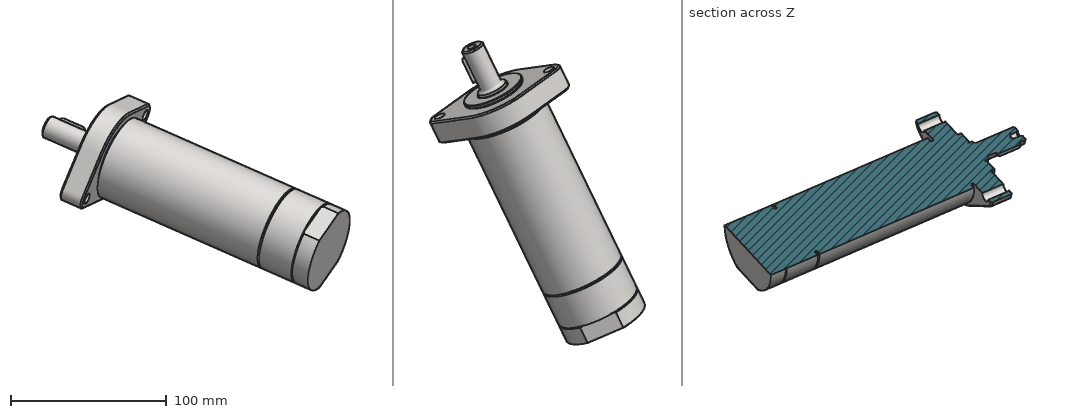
import cadquery as cq
import math

TOTAL_LENGTH = 207.3
SHAFT_FILLET_START = 28.5
CONE_START = 29.9
COLLAR_START = 30.7
PILOT_START = 32.1
FLANGE_START = 34.8
FLANGE_END = 51.0
BODY_START = 52.7
GROOVE_START = 170.2
CAP_START = 195.0

SHAFT_DIAMETER = 15.0
CONE_DIAMETER = 17.0
COLLAR_DIAMETER = 20.0
PILOT_DIAMETER = 41.0
PILOT_UNDERCUT_DIAMETER = 40.0
NECK_DIAMETER = 48.3
BODY_DIAMETER = 56.0
GROOVE_DIAMETER = 48.0
CAP_RELIEF_DIAMETER = 55.1

SHAFT_CHAMFER = 1.0
PILOT_CHAMFER = 0.5
PILOT_UNDERCUT_WIDTH = 0.6
GROOVE_WIDTH = 1.2
CAP_RELIEF_WIDTH = 0.6

CENTER_HOLE_DIAMETER = 4.0
CENTER_HOLE_DEPTH = 6.2
CENTER_SINK_DIAMETER = 5.8
CENTER_SINK_ANGLE = 60.0
DRILL_POINT_ANGLE = 118.0

SEAL_RECESS_DIAMETER = 21.4
SEAL_RECESS_DEPTH = 0.6

KEY_START = 5.2
KEY_LENGTH = 17.8
KEY_WIDTH = 5.0
KEY_TOP = 9.3

FLANGE_WIDTH = 92.0
FLANGE_HEIGHT = 62.0
EAR_RADIUS = 7.5
EAR_HOLE_DIAMETER = 7.0
FLANGE_CHAMFER = 1.0

CAP_ACROSS_FLATS = 50.0


def cylinder(start, end, diameter):
    """Solid cylinder on the X axis between two positions."""
    return cq.Workplane("YZ", origin=(start, 0, 0)).circle(diameter / 2).extrude(end - start)


def ring(start, width, inner, outer):
    """Ring around the X axis, used to cut grooves."""
    return cq.Workplane("YZ", origin=(start, 0, 0)).circle(outer / 2).circle(inner / 2).extrude(width)


def make_shaft():
    """Chamfered shaft that flares through a concave arc and a cone to its collar."""
    radius = SHAFT_DIAMETER / 2
    cone_radius = CONE_DIAMETER / 2
    collar_radius = COLLAR_DIAMETER / 2
    return (
        cq.Workplane("XY")
        .lineTo(0, radius - SHAFT_CHAMFER)
        .lineTo(SHAFT_CHAMFER, radius)
        .lineTo(SHAFT_FILLET_START, radius)
        .tangentArcPoint((CONE_START, cone_radius), relative=False)
        .lineTo(COLLAR_START, collar_radius)
        .lineTo(FLANGE_START, collar_radius)
        .lineTo(FLANGE_START, 0)
        .close()
        .revolve(360, (0, 0, 0), (1, 0, 0))
    )


def make_center_hole():
    """Countersunk blind hole with a drill point in the shaft tip."""
    sink_radius = CENTER_SINK_DIAMETER / 2
    hole_radius = CENTER_HOLE_DIAMETER / 2
    sink_depth = (sink_radius - hole_radius) / math.tan(math.radians(CENTER_SINK_ANGLE / 2))
    point_depth = hole_radius / math.tan(math.radians(DRILL_POINT_ANGLE / 2))
    return (
        cq.Workplane("XY")
        .lineTo(0, sink_radius)
        .lineTo(sink_depth, hole_radius)
        .lineTo(CENTER_HOLE_DEPTH, hole_radius)
        .lineTo(CENTER_HOLE_DEPTH + point_depth, 0)
        .close()
        .revolve(360, (0, 0, 0), (1, 0, 0))
    )


def make_key():
    """Round-ended key that rises from the shaft axis to its top face."""
    return (
        cq.Workplane("XZ", origin=(KEY_START + KEY_LENGTH / 2, 0, 0))
        .slot2D(KEY_LENGTH, KEY_WIDTH)
        .extrude(-KEY_TOP)
    )


def make_pilot():
    """Chamfered centering disc with a narrow undercut where it meets the flange."""
    pilot = cylinder(PILOT_START, FLANGE_START, PILOT_DIAMETER).faces("<X").chamfer(PILOT_CHAMFER)
    undercut_start = FLANGE_START - PILOT_UNDERCUT_WIDTH
    undercut = ring(undercut_start, PILOT_UNDERCUT_WIDTH, PILOT_UNDERCUT_DIAMETER, PILOT_DIAMETER)
    recess = cylinder(PILOT_START, PILOT_START + SEAL_RECESS_DEPTH, SEAL_RECESS_DIAMETER)
    return pilot.cut(undercut).cut(recess)


def make_flange():
    """Round center and two round ears joined by tangent lines, with an ear hole each side."""
    center_radius = FLANGE_HEIGHT / 2
    ear_offset = FLANGE_WIDTH / 2 - EAR_RADIUS
    tangent_angle = math.acos((center_radius - EAR_RADIUS) / ear_offset)
    across = math.cos(tangent_angle)
    up = math.sin(tangent_angle)
    center_y, center_z = center_radius * across, center_radius * up
    ear_y, ear_z = ear_offset + EAR_RADIUS * across, EAR_RADIUS * up
    return (
        cq.Workplane("YZ", origin=(FLANGE_START, 0, 0))
        .moveTo(-center_y, center_z)
        .threePointArc((0, center_radius), (center_y, center_z))
        .lineTo(ear_y, ear_z)
        .threePointArc((FLANGE_WIDTH / 2, 0), (ear_y, -ear_z))
        .lineTo(center_y, -center_z)
        .threePointArc((0, -center_radius), (-center_y, -center_z))
        .lineTo(-ear_y, -ear_z)
        .threePointArc((-FLANGE_WIDTH / 2, 0), (-ear_y, ear_z))
        .close()
        .extrude(FLANGE_END - FLANGE_START)
        .faces("<X or >X")
        .chamfer(FLANGE_CHAMFER)
        .faces("<X")
        .workplane(origin=(0, 0, 0))
        .pushPoints([(-ear_offset, 0), (ear_offset, 0)])
        .hole(EAR_HOLE_DIAMETER)
    )


def make_body():
    """Neck and grooved motor tube."""
    neck = cylinder(FLANGE_END, BODY_START, NECK_DIAMETER)
    tube = cylinder(BODY_START, CAP_START, BODY_DIAMETER)
    groove = ring(GROOVE_START, GROOVE_WIDTH, GROOVE_DIAMETER, BODY_DIAMETER)
    return neck.union(tube.cut(groove))


def make_cap():
    """End cap with a shallow relief and wrench flats at top and bottom."""
    length = TOTAL_LENGTH - CAP_START
    cap = cylinder(CAP_START, TOTAL_LENGTH, BODY_DIAMETER)
    relief = ring(CAP_START, CAP_RELIEF_WIDTH, CAP_RELIEF_DIAMETER, BODY_DIAMETER)
    flats = cq.Workplane("XY").box(length, BODY_DIAMETER, CAP_ACROSS_FLATS)
    return cap.cut(relief).intersect(flats.translate((CAP_START + length / 2, 0, 0)))


result = (
    make_pilot()
    .union(make_shaft())
    .union(make_key())
    .union(make_flange())
    .union(make_body())
    .union(make_cap())
    .cut(make_center_hole())
)